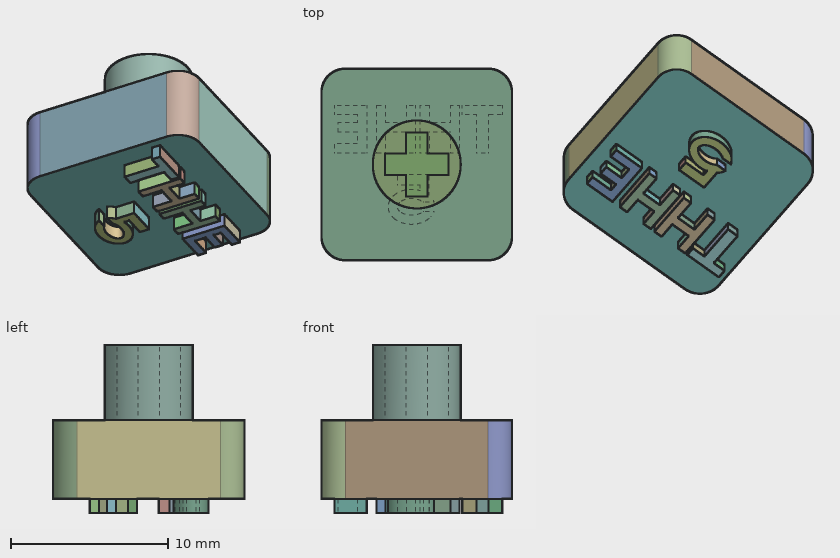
import cadquery as cq

body_x = 12.14
body_y = 12.2
body_height = 5.0
corner_radius = 1.52

stem_diameter = 5.6
stem_height = 4.8
cross_length = 4.05
cross_width = 1.37
socket_depth = stem_height

mark_height = 0.9
stroke = 0.59
row_bottom = 0.73
row_top = 3.76
row_middle = 2.37

comb_left = -5.25
comb_right = -3.17
comb_middle_left = -5.0

ladder_lefts = (-2.57, 0.22)
ladder_width = 2.5

tee_left = 2.88
tee_right = 5.44
tee_stem_left = 3.81
tee_stem_right = 4.58

curved_bar_left = -1.23
curved_bar_right = 0.78
curved_bar_bottom = -1.3
curved_bar_top = -0.63
bowl_x = -0.33
bowl_bottom = -3.81
bowl_radius_x = 1.49
bowl_radius_y = 1.11
bowl_y = bowl_bottom + bowl_radius_y


def mark(left, right, bottom, top):
    """Rectangular stroke standing down from the underside of the body."""
    return cq.Workplane("XY").box(
        right - left, top - bottom, mark_height, centered=False
    ).translate((left, bottom, -mark_height))


def middle_bar(left, right):
    """Horizontal stroke halfway up the row."""
    return mark(left, right, row_middle - stroke / 2, row_middle + stroke / 2)


def comb_mark():
    """Upright stroke with three arms towards -X."""
    upright = mark(comb_right - stroke, comb_right, row_bottom, row_top)
    low_arm = mark(comb_left, comb_right, row_bottom, row_bottom + stroke)
    high_arm = mark(comb_left, comb_right, row_top - stroke, row_top)
    return upright.union(low_arm).union(high_arm).union(middle_bar(comb_middle_left, comb_right))


def ladder_mark(left):
    """Two upright strokes joined by a middle bar."""
    right = left + ladder_width
    near = mark(left, left + stroke, row_bottom, row_top)
    far = mark(right - stroke, right, row_bottom, row_top)
    return near.union(far).union(middle_bar(left, right))


def tee_mark():
    """Upright stroke below a wide top bar."""
    upright = mark(tee_stem_left, tee_stem_right, row_bottom, row_top)
    return upright.union(mark(tee_left, tee_right, row_top - stroke, row_top))


def curved_mark():
    """Top bar and short upright leading into an oval bowl open on one side."""
    bowl = (
        cq.Workplane("XY").center(bowl_x, bowl_y)
        .ellipse(bowl_radius_x, bowl_radius_y)
        .ellipse(bowl_radius_x - stroke, bowl_radius_y - stroke)
        .extrude(-mark_height)
    )
    opening = mark(bowl_x, bowl_x + bowl_radius_x, bowl_y - stroke / 2, bowl_y + stroke / 2)
    bar = mark(curved_bar_left, curved_bar_right, curved_bar_bottom, curved_bar_top)
    upright = mark(curved_bar_right - stroke, curved_bar_right, bowl_y + stroke, curved_bar_top)
    return bowl.cut(opening).union(bar).union(upright)


body = (
    cq.Workplane("XY").rect(body_x, body_y).extrude(body_height)
    .edges("|Z").fillet(corner_radius)
)
stem = (
    cq.Workplane("XY").workplane(offset=body_height)
    .circle(stem_diameter / 2).extrude(stem_height)
)
socket_plane = cq.Workplane("XY").workplane(offset=body_height + stem_height)
socket = (
    socket_plane.rect(cross_length, cross_width).extrude(-socket_depth)
    .union(socket_plane.rect(cross_width, cross_length).extrude(-socket_depth))
)

result = body.union(stem).cut(socket)
for raised_mark in (comb_mark(), tee_mark(), curved_mark()):
    result = result.union(raised_mark)
for ladder_left in ladder_lefts:
    result = result.union(ladder_mark(ladder_left))